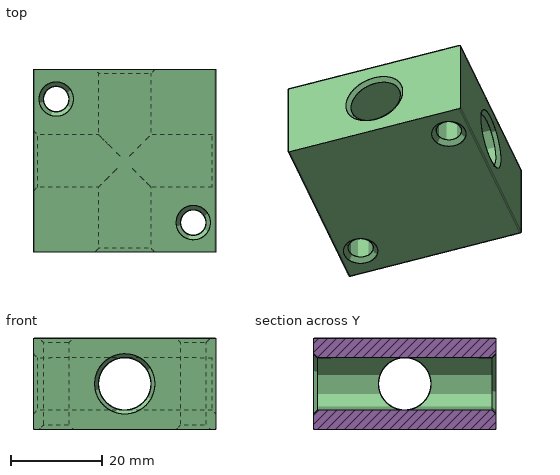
import cadquery as cq

side = 40.0
height = 20.0
edge_round = 0.3

port_diameter = 11.45
port_mouth_diameter = 13.2
port_chamfer = (port_mouth_diameter - port_diameter) / 2

mount_diameter = 5.5
mount_mouth_diameter = 7.5
mount_chamfer = (mount_mouth_diameter - mount_diameter) / 2
mount_x = 15.0
mount_y = 13.5


def chamfered_bore(diameter, chamfer, length):
    """Cutter along Z, centred on the origin, flaring at 45 degrees at both ends."""
    radius = diameter / 2
    mouth_radius = radius + chamfer
    half = length / 2
    return (
        cq.Workplane("XZ")
        .moveTo(0, -half)
        .lineTo(mouth_radius, -half)
        .lineTo(radius, -half + chamfer)
        .lineTo(radius, half - chamfer)
        .lineTo(mouth_radius, half)
        .lineTo(0, half)
        .close()
        .revolve(360, (0, 0, 0), (0, 1, 0))
    )


result = cq.Workplane("XY").box(side, side, height).edges("|Y").fillet(edge_round)

port = chamfered_bore(port_diameter, port_chamfer, side)
for tilt_axis in ((1, 0, 0), (0, 1, 0)):
    result = result.cut(port.rotate((0, 0, 0), tilt_axis, 90))

mount = chamfered_bore(mount_diameter, mount_chamfer, height)
for x, y in ((-mount_x, mount_y), (mount_x, -mount_y)):
    result = result.cut(mount.translate((x, y, 0)))